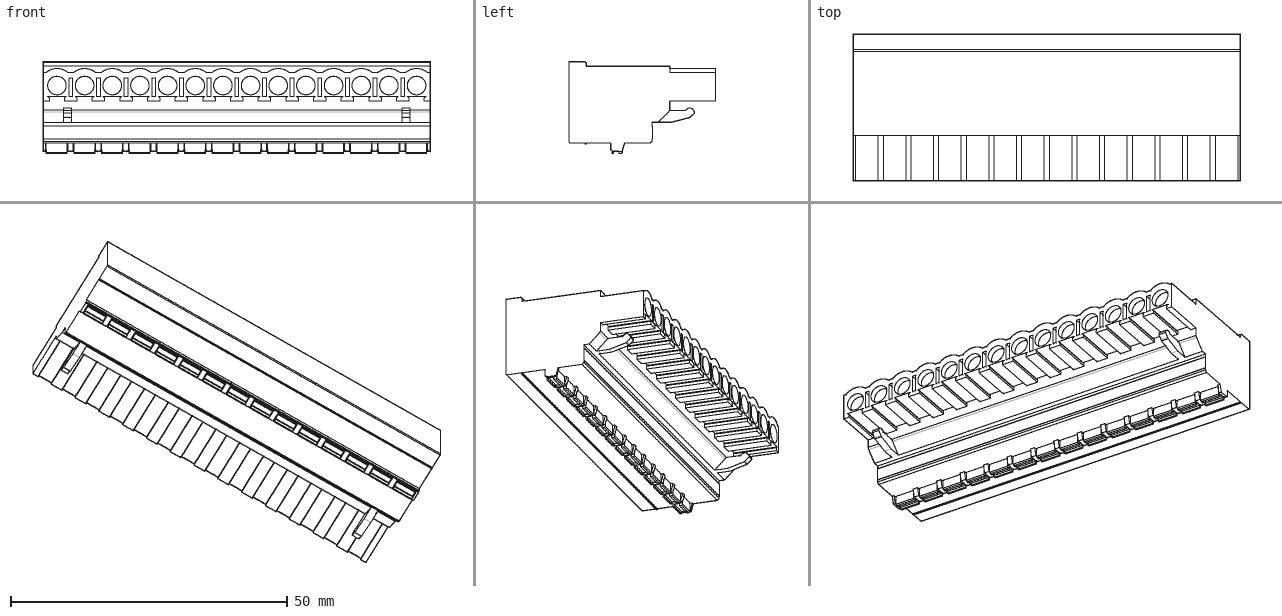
import cadquery as cq

length = 70.1
depth = 26.6
height = 16.7
pole_count = 14
pitch = length / pole_count

body_bottom = 1.9
roof_height = 15.85
ridge_width = 3.15
ridge_chamfer_run = 0.35
ridge_chamfer_drop = 0.2
front_wall_y = 8.3
front_wall_bottom = 7.9
overhang_lip = (8.5, 7.6)
overhang_root_y = 10.45
overhang_bottom = 5.7
lower_wall_y = 11.5
front_chamfer = 0.35
back_chamfer = 0.2

band_bottom = 2.65
band_top = 5.05
band_rise = 0.1

entry_bottom = 9.5
entry_shoulder = 14.65
entry_center_z = 12.35
entry_crown_radius = 3.1
entry_hole_diameter = 3.35
entry_hole_depth = 1.2

groove_mouth_width = 2.7
groove_roof_width = 3.35
groove_mouth_top = 10.1
groove_roof = 10.4

slot_width = 0.7
slot_bottom = 10.4
slot_top = 13.7

lever_width = 1.4
lever_end_offset = 3.7
lever_top = 7.85
lever_bend_y = 8.0
lever_tip = [(4.7, 6.5), (4.55, 6.65), (3.8, 7.35), (3.9, 7.85), (4.4, 8.3), (5.0, 8.3), (5.5, lever_top)]

bead_width = 0.2
bead_height = 0.15

foot_width = 3.8
foot_start = 0.55
foot_chamfer = 0.2
foot_front_y = 16.9
foot_back_y = 18.8
foot_groove_front_y = 17.5
foot_groove_back_y = 18.5
rib_bottom = 0.4
rib_front_top_y = 16.5
rail_back_y = 19.0
rail_bottom = 0.6
rib_gap = 0.15


def box(x0, x1, y0, y1, z0, z1):
    """Block between two opposite corners."""
    return cq.Workplane("XY").box(x1 - x0, y1 - y0, z1 - z0, centered=False).translate((x0, y0, z0))


def along_x(profile, x0, x1):
    """Extrude a closed (y, z) profile from x0 to x1."""
    return cq.Workplane("YZ").polyline(profile).close().extrude(x1 - x0).translate((x0, 0, 0))


def make_housing():
    ridge_front_y = depth - ridge_width
    housing = along_x(
        [
            (depth - back_chamfer, body_bottom),
            (depth, body_bottom + back_chamfer),
            (depth, height),
            (ridge_front_y + ridge_chamfer_run, height),
            (ridge_front_y, height - ridge_chamfer_drop),
            (ridge_front_y, roof_height),
            (front_wall_y, roof_height),
            (front_wall_y, front_wall_bottom),
            overhang_lip,
            (overhang_root_y, overhang_bottom),
            (lower_wall_y, overhang_bottom),
            (lower_wall_y, body_bottom + front_chamfer),
            (lower_wall_y + front_chamfer, body_bottom),
        ],
        0,
        length,
    )
    band = box(0, length, lower_wall_y - band_rise, lower_wall_y + band_rise, band_bottom, band_top)
    return housing.union(band)


def make_entry_row():
    """Row of wire entries with rounded crowns, before any openings are cut."""
    row = box(0, length, 0, front_wall_y, entry_bottom, entry_shoulder)
    for pole in range(pole_count):
        center_x = (pole + 0.5) * pitch
        crown = (
            cq.Workplane("XZ")
            .center(center_x, entry_center_z)
            .circle(entry_crown_radius)
            .extrude(-front_wall_y)
        )
        above_shoulder = box(
            center_x - pitch / 2, center_x + pitch / 2, 0, front_wall_y, entry_center_z, height
        )
        crown = crown.intersect(above_shoulder)
        row = row.union(crown)
    return row


def make_groove(center_x):
    """Undercut groove below one wire entry."""
    mouth = groove_mouth_width / 2
    roof = groove_roof_width / 2
    return (
        cq.Workplane("XZ")
        .polyline(
            [
                (center_x - mouth, entry_bottom),
                (center_x - mouth, groove_mouth_top),
                (center_x - roof, groove_roof),
                (center_x + roof, groove_roof),
                (center_x + mouth, groove_mouth_top),
                (center_x + mouth, entry_bottom),
            ]
        )
        .close()
        .extrude(-front_wall_y)
    )


def cut_entries(row):
    for pole in range(pole_count):
        center_x = (pole + 0.5) * pitch
        hole = (
            cq.Workplane("XZ")
            .center(center_x, entry_center_z)
            .circle(entry_hole_diameter / 2)
            .extrude(-entry_hole_depth)
        )
        row = row.cut(hole).cut(make_groove(center_x))
    for boundary in range(1, pole_count):
        x = boundary * pitch
        slot = box(x - slot_width / 2, x + slot_width / 2, 0, front_wall_y, slot_bottom, slot_top)
        row = row.cut(slot)
    return row


def make_lever(x0):
    """Latch lever with a flat root and a faceted, raised tip."""
    profile = [
        (lower_wall_y, overhang_bottom),
        (lever_bend_y, overhang_bottom),
        *lever_tip,
        (lower_wall_y, lever_top),
    ]
    return along_x(profile, x0, x0 + lever_width)


def make_foot(x0):
    """Foot with a chamfered front and a shallow groove along its underside."""
    profile = [
        (foot_front_y, body_bottom),
        (foot_front_y, foot_chamfer),
        (foot_front_y + foot_chamfer, 0),
        (foot_groove_front_y, 0),
        (foot_groove_front_y, rib_bottom),
        (foot_groove_back_y, rib_bottom),
        (foot_groove_back_y, 0),
        (foot_back_y, 0),
        (foot_back_y, body_bottom),
    ]
    return along_x(profile, x0, x0 + foot_width)


def make_rib(x0, x1):
    """Rib beside a foot, with a sloping front."""
    profile = [
        (rib_front_top_y, body_bottom),
        (foot_front_y, rib_bottom),
        (foot_back_y, rib_bottom),
        (foot_back_y, body_bottom),
    ]
    return along_x(profile, x0, x1)


def make_underside():
    """Rail, feet and ribs below the housing, plus the small bead behind them."""
    bead_y = depth - ridge_width
    underside = box(0, length, foot_back_y, rail_back_y, rail_bottom, body_bottom)
    rib_start = 0.0
    for pole in range(pole_count):
        foot_x = pole * pitch + foot_start
        underside = underside.union(make_foot(foot_x))
        underside = underside.union(make_rib(rib_start, foot_x - rib_gap))
        rib_start = foot_x + foot_width + rib_gap
    underside = underside.union(make_rib(rib_start, length))
    bead = box(0, length, bead_y, bead_y + bead_width, body_bottom - bead_height, body_bottom)
    return underside.union(bead)


result = make_housing().union(cut_entries(make_entry_row())).union(make_underside())

for lever_x in (lever_end_offset, length - lever_end_offset - lever_width):
    result = result.union(make_lever(lever_x))